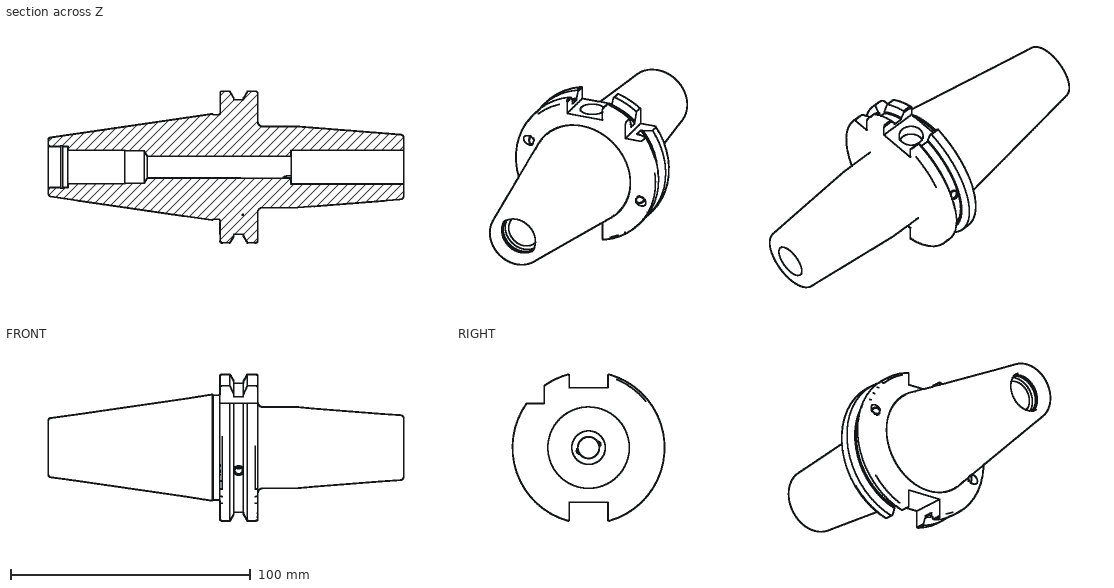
import cadquery as cq
import math


TAPER_LENGTH = 68.4
GAUGE_RADIUS = 44.45 / 2
TAPER_SLOPE = 7 / 48
TAPER_END_RADIUS = GAUGE_RADIUS - TAPER_LENGTH * TAPER_SLOPE
TAPER_END_ROUND = 1.3
RELIEF_RADIUS = 43.8 / 2
RELIEF_CHAMFER = 0.5
RELIEF_ROUND = 0.4

FLANGE_START = 3.2
FLANGE_END = 19.1
FLANGE_RADIUS = 63.55 / 2
FLANGE_ROUND = 1.0
GROOVE_X = 11.1
GROOVE_FLOOR_RADIUS = 56.25 / 2
GROOVE_FLANK_RADIUS = 28.9
GROOVE_FLOOR_HALF_WIDTH = 2.0
GROOVE_FLANK_ANGLE = math.radians(30)
GROOVE_TOP_HALF_WIDTH = GROOVE_FLOOR_HALF_WIDTH + (
    FLANGE_RADIUS - GROOVE_FLANK_RADIUS
) * math.tan(GROOVE_FLANK_ANGLE)

NOSE_END = 80.0
NOSE_RADIUS = 34 / 2
NOSE_TIP_RADIUS = 27 / 2
NOSE_ANGLE = math.radians(4.5)
NOSE_CONE_START = NOSE_END - (NOSE_RADIUS - NOSE_TIP_RADIUS) / math.tan(NOSE_ANGLE)
NOSE_ROOT_ROUND = 2.0
NOSE_TIP_ROUND = 1.5

SLOT_WIDTH = 16.1
UPPER_SLOT_FLOOR = 25.0
LOWER_SLOT_FLOOR = 22.8
SLOT_EDGE_CHAMFER = 0.5
NOTCH_OFFSET = 18.5
CHIP_POCKET_DIAMETER = 10.0
CHIP_POCKET_DEPTH = 5.2

PILOT_RADIUS = 17 / 2
MOUTH_ROUND = 1.1
RECESS_RADIUS = 17.6 / 2
RECESS_START = 5.2
RECESS_END = 6.1
PILOT_DEPTH = 8.2
THREAD_RADIUS = 13.84 / 2
THREAD_DEPTH = 32.0
DRILL_RADIUS = 13.5 / 2
DRILL_DEPTH = 40.0
DRILL_POINT_ANGLE = math.radians(59)
THROUGH_RADIUS = 8.92 / 2
DRILL_POINT_DEPTH = DRILL_DEPTH + (DRILL_RADIUS - THROUGH_RADIUS) / math.tan(DRILL_POINT_ANGLE)
TOOL_BORE_RADIUS = 14 / 2
TOOL_BORE_DEPTH = 47.0

COOLANT_ANGLE = 20.0
COOLANT_TILT = 38.0
COOLANT_ENTRY_RADIUS = 27.0
SCREW_RECESS_DIAMETER = 4.0
FACE_RECESS_DEPTH = 1.2
COOLANT_CHANNEL_DIAMETER = 2.5
COOLANT_CHANNEL_LENGTH = 39.0
SCREW_HOLE_DIAMETER = 3.24
FACE_SCREW_HOLE_DEPTH = 5.0
RIM_RECESS_DEPTH = 0.5
RIM_SCREW_HOLE_DEPTH = 7.0


def revolve_about_x(profile):
    return profile.close().revolve(360, (0, 0, 0), (1, 0, 0))


def round_body():
    outline = (
        cq.Workplane("XY")
        .moveTo(-TAPER_LENGTH, 0)
        .lineTo(-TAPER_LENGTH, TAPER_END_RADIUS)
        .lineTo(0, GAUGE_RADIUS)
        .lineTo(RELIEF_CHAMFER, RELIEF_RADIUS)
        .lineTo(FLANGE_START - RELIEF_ROUND, RELIEF_RADIUS)
        .radiusArc((FLANGE_START, RELIEF_RADIUS + RELIEF_ROUND), -RELIEF_ROUND)
        .lineTo(FLANGE_START, FLANGE_RADIUS - FLANGE_ROUND)
        .radiusArc((FLANGE_START + FLANGE_ROUND, FLANGE_RADIUS), FLANGE_ROUND)
        .lineTo(GROOVE_X - GROOVE_TOP_HALF_WIDTH, FLANGE_RADIUS)
        .lineTo(GROOVE_X - GROOVE_FLOOR_HALF_WIDTH, GROOVE_FLANK_RADIUS)
        .lineTo(GROOVE_X - GROOVE_FLOOR_HALF_WIDTH, GROOVE_FLOOR_RADIUS)
        .lineTo(GROOVE_X + GROOVE_FLOOR_HALF_WIDTH, GROOVE_FLOOR_RADIUS)
        .lineTo(GROOVE_X + GROOVE_FLOOR_HALF_WIDTH, GROOVE_FLANK_RADIUS)
        .lineTo(GROOVE_X + GROOVE_TOP_HALF_WIDTH, FLANGE_RADIUS)
        .lineTo(FLANGE_END - FLANGE_ROUND, FLANGE_RADIUS)
        .radiusArc((FLANGE_END, FLANGE_RADIUS - FLANGE_ROUND), FLANGE_ROUND)
        .lineTo(FLANGE_END, NOSE_RADIUS + NOSE_ROOT_ROUND)
        .radiusArc((FLANGE_END + NOSE_ROOT_ROUND, NOSE_RADIUS), -NOSE_ROOT_ROUND)
        .lineTo(NOSE_CONE_START, NOSE_RADIUS)
        .lineTo(NOSE_END, NOSE_TIP_RADIUS)
        .lineTo(NOSE_END, 0)
    )
    body = revolve_about_x(outline)
    body = body.faces("<X").edges().fillet(TAPER_END_ROUND)
    return body.faces(">X").edges().fillet(NOSE_TIP_ROUND)


def central_bore():
    profile = (
        cq.Workplane("XY")
        .moveTo(0, 0)
        .lineTo(0, PILOT_RADIUS + MOUTH_ROUND)
        .radiusArc((MOUTH_ROUND, PILOT_RADIUS), -MOUTH_ROUND)
        .lineTo(RECESS_START, PILOT_RADIUS)
        .lineTo(RECESS_START, RECESS_RADIUS)
        .lineTo(RECESS_END, RECESS_RADIUS)
        .lineTo(RECESS_END, PILOT_RADIUS)
        .lineTo(PILOT_DEPTH, PILOT_RADIUS)
        .lineTo(PILOT_DEPTH, THREAD_RADIUS)
        .lineTo(THREAD_DEPTH, THREAD_RADIUS)
        .lineTo(THREAD_DEPTH, DRILL_RADIUS)
        .lineTo(DRILL_DEPTH, DRILL_RADIUS)
        .lineTo(DRILL_POINT_DEPTH, THROUGH_RADIUS)
        .lineTo(TAPER_LENGTH + NOSE_END - TOOL_BORE_DEPTH, THROUGH_RADIUS)
        .lineTo(TAPER_LENGTH + NOSE_END - TOOL_BORE_DEPTH, TOOL_BORE_RADIUS)
        .lineTo(TAPER_LENGTH + NOSE_END, TOOL_BORE_RADIUS)
        .lineTo(TAPER_LENGTH + NOSE_END, 0)
    )
    return revolve_about_x(profile).translate((-TAPER_LENGTH, 0, 0))


def orientation_notch():
    """Square corner cut out of the rim on the -Y, +Z side."""
    side = FLANGE_RADIUS - NOTCH_OFFSET
    corner = (FLANGE_START, -FLANGE_RADIUS, NOTCH_OFFSET)
    block = cq.Workplane("XY").box(FLANGE_END - FLANGE_START, side, side, centered=False)
    return block.translate(corner)


def drive_slot(floor):
    """Slot open at the rim, with its two rim edges chamfered, on the +Z side."""
    half_width = SLOT_WIDTH / 2
    rim = math.sqrt(FLANGE_RADIUS**2 - half_width**2)
    rim_angle = math.asin(half_width / FLANGE_RADIUS)
    chamfer_y = half_width + SLOT_EDGE_CHAMFER * math.cos(rim_angle)
    chamfer_z = rim - SLOT_EDGE_CHAMFER * math.sin(rim_angle)
    points = [
        (half_width, floor),
        (half_width, rim - SLOT_EDGE_CHAMFER),
        (chamfer_y, chamfer_z),
        (chamfer_y, FLANGE_RADIUS),
    ]
    mirrored = [(-y, z) for y, z in reversed(points)]
    return (
        cq.Workplane("YZ", origin=(FLANGE_START, 0, 0))
        .polyline(points + mirrored)
        .close()
        .extrude(FLANGE_END - FLANGE_START)
    )


def chip_pocket():
    return (
        cq.Workplane("XY", origin=(GROOVE_X, 0, UPPER_SLOT_FLOOR))
        .circle(CHIP_POCKET_DIAMETER / 2)
        .extrude(-CHIP_POCKET_DEPTH)
    )


def rod(diameter, start, direction, length):
    return cq.Workplane(
        cq.Solid.makeCylinder(diameter / 2, length, cq.Vector(*start), cq.Vector(*direction))
    )


def coolant_channel():
    """Tilted channel from the flange face to the bore, and its screw hole, on the +Y side."""
    tilt = math.radians(COOLANT_TILT)
    axis = (math.cos(tilt), -math.sin(tilt), 0)
    entry = (FLANGE_START, COOLANT_ENTRY_RADIUS, 0)
    outside = SCREW_RECESS_DIAMETER
    entry_start = tuple(p - outside * a for p, a in zip(entry, axis))
    screw_start = (GROOVE_X, GROOVE_FLANK_RADIUS, 0)
    inward = (0, -1, 0)
    lip = GROOVE_FLANK_RADIUS - GROOVE_FLOOR_RADIUS
    channel = (
        rod(SCREW_RECESS_DIAMETER, entry_start, axis, outside + FACE_RECESS_DEPTH)
        .union(rod(SCREW_HOLE_DIAMETER, entry, axis, FACE_SCREW_HOLE_DEPTH))
        .union(rod(COOLANT_CHANNEL_DIAMETER, entry, axis, COOLANT_CHANNEL_LENGTH))
        .union(rod(SCREW_RECESS_DIAMETER, screw_start, inward, lip + RIM_RECESS_DEPTH))
        .union(rod(SCREW_HOLE_DIAMETER, screw_start, inward, lip + RIM_SCREW_HOLE_DEPTH))
    )
    return channel.rotate((0, 0, 0), (1, 0, 0), COOLANT_ANGLE)


upper_slot = drive_slot(UPPER_SLOT_FLOOR)
lower_slot = drive_slot(LOWER_SLOT_FLOOR).rotate((0, 0, 0), (1, 0, 0), 180)

result = round_body().cut(central_bore())
result = result.cut(upper_slot).cut(lower_slot).cut(orientation_notch()).cut(chip_pocket())
for turn in (0, 180):
    result = result.cut(coolant_channel().rotate((0, 0, 0), (1, 0, 0), turn))
result = cq.Workplane(result.solids().val())